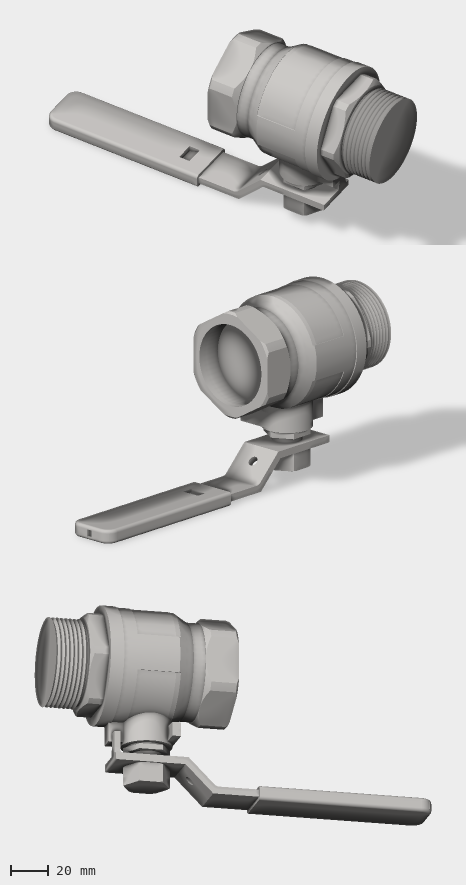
import cadquery as cq
import math


inlet_x = -43.8
inlet_hex_end_x = -25.8
shoulder_start_x = -19.3
shoulder_end_x = -10.7
flange_start_x = 19.8
flange_end_x = 27.1
outlet_hex_end_x = 36.6
outlet_x = 54.75

throat_radius = 26.2
barrel_radius = 31.4
flange_radius = 32.0
inlet_bore_radius = 22.4
inlet_bore_depth = 14.2
inlet_hex_flats = 53.3
inlet_hex_corners = 58.9
outlet_hex_flats = 50.0
outlet_hex_corners = 55.6
inlet_face_chamfer = 1.2
inlet_back_chamfer = (2.9, 2.7)
outlet_chamfer = (1.7, 2.9)

thread_pitch = 2.309
thread_crest_radius = 23.9
thread_root_radius = 22.4
thread_turns = 8

panel_end_x = 12.1
panel_floor_start_x = -9.0
panel_ramp_start_x = -11.6
panel_ramp_radius = 30.6
panel_floor_radius = 31.0
panel_half_gap = 9.8

neck_radius = 13.7
neck_bottom_z = -43.3
gland_top_z = -44.4
gland_bottom_z = -47.2
gland_collar_radius = 10.4
stem_radius = 8.2
stud_radius = 5.0
hex_across_flats = 22.0
nut_height = 10.5
nut_chamfer = (0.5, 0.9)

stop_bottom_z = -42.1
outlet_stop_end_x = 21.3
outlet_stop_front_y = -6.1
outlet_stop_fillet = 2.0
inlet_stop_thickness = 4.7
inlet_stop_end_y = 20.9
inlet_stop_top_z = -33.4
inlet_stop_tip_z = -34.5

lever_thickness = 4.0
lever_width = 24.6
lever_end_x = 19.55
lever_top_z = -50.6
upper_bend_x = -19.9
lever_drop = 15.05
bend_angle = 45.0
bend_fillet = 4.0
lever_end_round = 0.8
hang_hole_diameter = 5.4
hang_hole_drop = 6.4
tab_thickness = 3.3
tab_front_y = 3.0
tab_back_y = 9.0
tab_flare = 0.7
tab_flare_top_z = -47.0
tab_top_z = -38.0

grip_x = -152.6
grip_end_x = -58.1
grip_width = 28.0
grip_thickness = 7.7
grip_corner_radius = 6.5
grip_edge_fillet = 1.8
grip_wall = 2.0
end_slot_width = 3.3
window_start_x = -74.5
window_end_x = -68.2
window_width = 10.4
ramp_end_x = -69.4
ramp_depth = 1.5

lever_bottom_z = lever_top_z - lever_thickness
handle_top_z = lever_top_z - lever_drop
handle_mid_z = handle_top_z - lever_thickness / 2
nut_bottom_z = lever_bottom_z - nut_height
lower_bend_x = upper_bend_x - lever_drop / math.tan(math.radians(bend_angle))


def cylinder_x(start_x, end_x, radius):
    return cq.Workplane("YZ", origin=(start_x, 0, 0)).circle(radius).extrude(end_x - start_x)


def cylinder_z(bottom_z, top_z, radius):
    return cq.Workplane("XY", origin=(0, 0, bottom_z)).circle(radius).extrude(top_z - bottom_z)


def block(x_range, y_range, z_range):
    sizes = [end - start for start, end in (x_range, y_range, z_range)]
    corner = (x_range[0], y_range[0], z_range[0])
    return cq.Workplane("XY").box(*sizes, centered=False).translate(corner)


def revolve_x(points):
    """Turn an (x, radius) outline about the flow axis."""
    return cq.Workplane("XY").polyline(points).close().revolve(360, (0, 0, 0), (1, 0, 0))


def hexagon_x(start_x, end_x, across_flats, across_corners, turn):
    """Hexagon about X whose corners are cut back by a second, larger hexagon."""
    to_corner = 1 / math.cos(math.pi / 6)
    length = end_x - start_x
    plane = cq.Workplane("YZ", origin=(start_x, 0, 0))
    flats = plane.polygon(6, across_flats * to_corner).extrude(length)
    corners = plane.polygon(6, across_corners * to_corner).extrude(length)
    corners = corners.rotate((0, 0, 0), (1, 0, 0), 30)
    return flats.intersect(corners).rotate((0, 0, 0), (1, 0, 0), turn)


def hexagon_z(bottom_z, top_z):
    corner_diameter = hex_across_flats / math.cos(math.pi / 6)
    return cq.Workplane("XY", origin=(0, 0, bottom_z)).polygon(6, corner_diameter).extrude(top_z - bottom_z)


def inlet_end():
    """Hexagon with flats at +Y and -Y, turned down at both faces."""
    corner_radius = inlet_hex_corners / 2
    back_length, back_drop = inlet_back_chamfer
    envelope = revolve_x([
        (inlet_x, 0),
        (inlet_x, corner_radius - inlet_face_chamfer),
        (inlet_x + inlet_face_chamfer, corner_radius),
        (inlet_hex_end_x - back_length, corner_radius),
        (inlet_hex_end_x, corner_radius - back_drop),
        (inlet_hex_end_x, 0),
    ])
    hexagon = hexagon_x(inlet_x, inlet_hex_end_x, inlet_hex_flats, inlet_hex_corners, 30)
    return hexagon.intersect(envelope)


def outlet_hexagon():
    """Hexagon with flats at +Z and -Z, turned down on the thread side."""
    corner_radius = outlet_hex_corners / 2
    length, drop = outlet_chamfer
    envelope = revolve_x([
        (flange_end_x, 0),
        (flange_end_x, corner_radius),
        (outlet_hex_end_x - length, corner_radius),
        (outlet_hex_end_x, corner_radius - drop),
        (outlet_hex_end_x, 0),
    ])
    hexagon = hexagon_x(flange_end_x, outlet_hex_end_x, outlet_hex_flats, outlet_hex_corners, 0)
    return hexagon.intersect(envelope)


def barrel():
    return revolve_x([
        (inlet_hex_end_x, 0),
        (inlet_hex_end_x, throat_radius),
        (shoulder_start_x, throat_radius),
        (shoulder_end_x, barrel_radius),
        (flange_start_x, barrel_radius),
        (flange_start_x, flange_radius),
        (flange_end_x, flange_radius),
        (flange_end_x, 0),
    ])


def thread():
    """Outlet spigot with ring-shaped V threads, the last crest lying on the outlet face."""
    first_crest_x = outlet_x - (thread_turns - 1) * thread_pitch
    outline = [(outlet_hex_end_x, 0), (outlet_hex_end_x, thread_root_radius)]
    for turn in range(thread_turns):
        crest_x = first_crest_x + turn * thread_pitch
        outline.append((crest_x - thread_pitch / 2, thread_root_radius))
        outline.append((crest_x, thread_crest_radius))
    outline.append((outlet_x, 0))
    return revolve_x(outline)


def label_panels():
    """Cutter for the two shallow recesses, leaving plain bands at +Y and -Y."""
    ring = revolve_x([
        (panel_ramp_start_x, panel_ramp_radius),
        (panel_floor_start_x, panel_floor_radius),
        (panel_end_x, panel_floor_radius),
        (panel_end_x, flange_radius),
        (panel_ramp_start_x, flange_radius),
    ])
    side_bands = block(
        (panel_ramp_start_x, panel_end_x),
        (-flange_radius, flange_radius),
        (-panel_half_gap, panel_half_gap),
    )
    return ring.cut(side_bands)


def outlet_stop():
    """Stop reaching out to +X under the barrel, its back face resting against the lever tab."""
    return block(
        (0, outlet_stop_end_x),
        (outlet_stop_front_y, tab_front_y),
        (stop_bottom_z, -throat_radius),
    )


def inlet_stop():
    """Stop reaching out to +Y, flush with the inlet side of the neck."""
    return (
        cq.Workplane("YZ", origin=(-neck_radius, 0, 0))
        .polyline([
            (0, stop_bottom_z),
            (inlet_stop_end_y, stop_bottom_z),
            (inlet_stop_end_y, inlet_stop_tip_z),
            (0, inlet_stop_top_z),
        ])
        .close()
        .extrude(inlet_stop_thickness)
    )


def neck_with_stops():
    neck = cylinder_z(neck_bottom_z, 0, neck_radius).union(outlet_stop())
    corner_x = math.sqrt(neck_radius ** 2 - outlet_stop_front_y ** 2)
    corner_z = (stop_bottom_z - throat_radius) / 2
    corner = cq.NearestToPointSelector((corner_x, outlet_stop_front_y, corner_z))
    return neck.edges(corner).fillet(outlet_stop_fillet).union(inlet_stop())


def stem():
    collar = cylinder_z(gland_top_z, neck_bottom_z, gland_collar_radius)
    gland = hexagon_z(gland_bottom_z, gland_top_z)
    spindle = cylinder_z(lever_top_z, gland_bottom_z, stem_radius)
    stud = cylinder_z(nut_bottom_z, lever_top_z, stud_radius)
    return collar.union(gland).union(spindle).union(stud)


def make_housing():
    shell = barrel().cut(label_panels())
    shell = shell.union(inlet_end()).union(outlet_hexagon()).union(thread())
    shell = shell.union(neck_with_stops()).union(stem())
    return shell.cut(cylinder_x(inlet_x, inlet_x + inlet_bore_depth, inlet_bore_radius))


def lever_tab():
    """Upright stop finger at the free end of the lever, flared at its foot."""
    return (
        cq.Workplane("YZ", origin=(lever_end_x - tab_thickness, 0, 0))
        .polyline([
            (tab_front_y - tab_flare, lever_top_z),
            (tab_back_y + tab_flare, lever_top_z),
            (tab_back_y, tab_flare_top_z),
            (tab_back_y, tab_top_z),
            (tab_front_y, tab_top_z),
            (tab_front_y, tab_flare_top_z),
        ])
        .close()
        .extrude(tab_thickness)
    )


def lever_strip():
    """Flat bar with two opposite bends, stepping down towards the handle."""
    bend_shift = lever_thickness * math.tan(math.radians(bend_angle / 2))
    handle_end_x = grip_x + grip_wall
    strip = (
        cq.Workplane("XZ", origin=(0, lever_width / 2, 0))
        .polyline([
            (lever_end_x, lever_top_z),
            (upper_bend_x, lever_top_z),
            (lower_bend_x, handle_top_z),
            (handle_end_x, handle_top_z),
            (handle_end_x, handle_top_z - lever_thickness),
            (lower_bend_x + bend_shift, handle_top_z - lever_thickness),
            (upper_bend_x + bend_shift, lever_bottom_z),
            (lever_end_x, lever_bottom_z),
        ])
        .close()
        .extrude(lever_width)
    )
    inner_bend = cq.NearestToPointSelector((lower_bend_x, 0, handle_top_z))
    end_edge = cq.NearestToPointSelector((lever_end_x, 0, lever_bottom_z))
    return strip.edges(inner_bend).fillet(bend_fillet).edges(end_edge).fillet(lever_end_round)


def hang_hole():
    """Hole square to the sloping stretch of the lever."""
    slope = math.radians(bend_angle)
    slope_x = upper_bend_x - hang_hole_drop / math.tan(slope)
    slope_z = lever_top_z - hang_hole_drop
    plane = cq.Plane(
        origin=(slope_x, 0, slope_z),
        xDir=(0, 1, 0),
        normal=(-math.sin(slope), 0, math.cos(slope)),
    )
    return cq.Workplane(plane).circle(hang_hole_diameter / 2).extrude(2 * lever_thickness, both=True)


def catch_ramp():
    """Wedge-shaped recess in the handle, under the grip window."""
    return (
        cq.Workplane("XZ", origin=(0, window_width / 2, 0))
        .polyline([
            (ramp_end_x, handle_top_z),
            (window_start_x, handle_top_z),
            (window_start_x, handle_top_z - ramp_depth),
        ])
        .close()
        .extrude(window_width)
    )


def make_lever():
    bar = lever_strip().union(lever_tab()).cut(hang_hole()).cut(catch_ramp())
    return bar.cut(cylinder_z(lever_bottom_z, lever_top_z, stud_radius))


def make_grip():
    """Sleeve over the handle, open towards the valve."""
    half_width = grip_width / 2
    bottom_z = handle_mid_z - grip_thickness / 2
    top_z = bottom_z + grip_thickness
    handle_bottom_z = handle_top_z - lever_thickness
    sleeve = block((grip_x, grip_end_x), (-half_width, half_width), (bottom_z, top_z))
    sleeve = sleeve.edges("|Z and <X").fillet(grip_corner_radius)
    sleeve = sleeve.faces("<Z or >Z").edges("not(>X)").fillet(grip_edge_fillet)
    cavity = block(
        (grip_x + grip_wall, grip_end_x),
        (-lever_width / 2, lever_width / 2),
        (handle_bottom_z, handle_top_z),
    )
    end_slot = block(
        (grip_x, grip_x + grip_wall),
        (-end_slot_width / 2, end_slot_width / 2),
        (handle_bottom_z, handle_top_z),
    )
    window = block(
        (window_start_x, window_end_x),
        (-window_width / 2, window_width / 2),
        (handle_top_z, top_z),
    )
    return sleeve.cut(cavity).cut(end_slot).cut(window)


def make_nut():
    radius = hex_across_flats / math.cos(math.pi / 6) / 2
    length, drop = nut_chamfer
    envelope = (
        cq.Workplane("XZ")
        .polyline([
            (0, nut_bottom_z),
            (radius - drop, nut_bottom_z),
            (radius, nut_bottom_z + length),
            (radius, lever_bottom_z - length),
            (radius - drop, lever_bottom_z),
            (0, lever_bottom_z),
        ])
        .close()
        .revolve(360, (0, 0, 0), (0, 1, 0))
    )
    nut = hexagon_z(nut_bottom_z, lever_bottom_z).intersect(envelope)
    return nut.cut(cylinder_z(nut_bottom_z, lever_bottom_z, stud_radius))


housing = make_housing()
lever = make_lever()
grip = make_grip()
nut = make_nut()

result = cq.Compound.makeCompound([housing.val(), lever.val(), grip.val(), nut.val()])